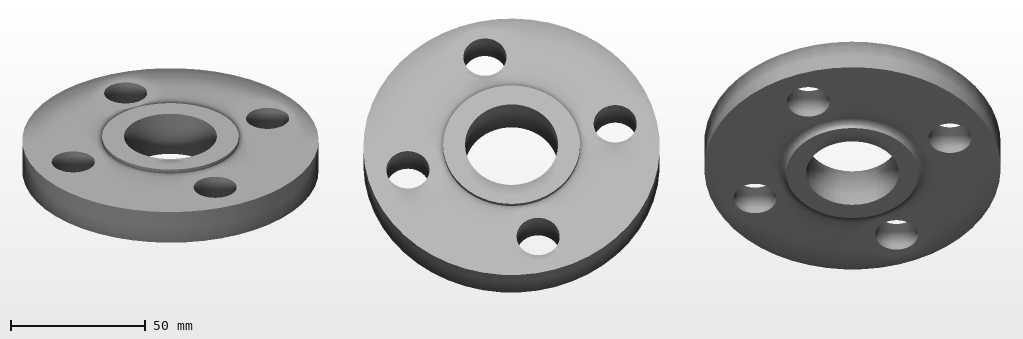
import cadquery as cq
import math

overall_height = 17.0

flange_diameter = 110.0
flange_thickness = 13.0

raised_face_diameter = 50.8
raised_face_height = 1.6

hub_end_diameter = 49.0
hub_height = overall_height - flange_thickness - raised_face_height
hub_fillet_radius = 3.0

bore_diameter = 34.5
bolt_circle_diameter = 79.4
bolt_hole_diameter = 16.0
bolt_count = 4
first_bolt_angle = 45.0

bore_radius = bore_diameter / 2
flange_radius = flange_diameter / 2
raised_face_radius = raised_face_diameter / 2
hub_end_radius = hub_end_diameter / 2
flange_bottom = hub_height
flange_top = flange_bottom + flange_thickness

fillet_center_height = flange_bottom - hub_fillet_radius
fillet_run = math.sqrt(hub_fillet_radius**2 - fillet_center_height**2)
hub_root_radius = hub_end_radius + fillet_run


def make_turned_body():
    """Bored disc with its raised face and hub, revolved about Z."""
    profile = (
        cq.Workplane("XZ")
        .moveTo(bore_radius, 0)
        .lineTo(hub_end_radius, 0)
        .radiusArc((hub_root_radius, flange_bottom), hub_fillet_radius)
        .lineTo(flange_radius, flange_bottom)
        .lineTo(flange_radius, flange_top)
        .lineTo(raised_face_radius, flange_top)
        .lineTo(raised_face_radius, overall_height)
        .lineTo(bore_radius, overall_height)
        .close()
    )
    return profile.revolve(360, (0, 0, 0), (0, 1, 0))


def make_bolt_holes():
    """Cutters for the bolt holes, spaced evenly on the bolt circle."""
    return (
        cq.Workplane("XY")
        .polarArray(bolt_circle_diameter / 2, first_bolt_angle, 360, bolt_count)
        .circle(bolt_hole_diameter / 2)
        .extrude(overall_height)
    )


result = make_turned_body().cut(make_bolt_holes())